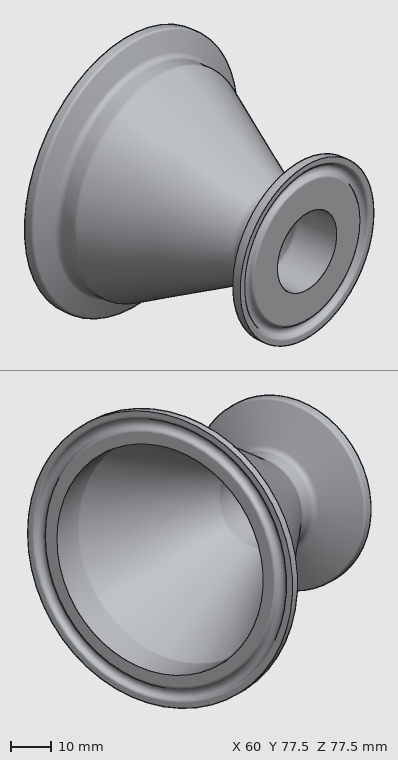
import cadquery as cq
import math

length = 60.0
wall = 1.6
large_rim_radius = 38.75
large_tube_radius = 31.8
small_rim_radius = 25.2
small_tube_radius = 12.8

cone_start = 10.8
cone_end = 47.2
large_bend_radius = 1.8
small_bend_radius = 2.3

flange_slope = math.tan(math.radians(20))
flange_edge_thickness = 2.7
rim_round = 0.8
neck_round = 1.85

groove_inset = 3.5
groove_depth = 1.55
groove_mouth_half_width = 1.55
groove_lip_round = 0.8
groove_apex_depth = groove_mouth_half_width / flange_slope
apex_distance_factor = 1 / math.sin(math.atan(flange_slope)) - 1
groove_bottom_round = (groove_apex_depth - groove_depth) / apex_distance_factor


def rounded_outline(corners):
    """Closed XY outline from (x, radius, rounding) corners; rounding 0 is sharp.

    The first corner must be sharp.
    """
    points = [cq.Vector(x, radius) for x, radius, _ in corners]
    outline = cq.Workplane("XY").moveTo(points[0].x, points[0].y)
    for i in range(1, len(corners)):
        corner = points[i]
        rounding = corners[i][2]
        if rounding == 0:
            outline = outline.lineTo(corner.x, corner.y)
            continue
        back = (points[i - 1] - corner).normalized()
        ahead = (points[(i + 1) % len(points)] - corner).normalized()
        half_angle = back.getAngle(ahead) / 2
        tangent_length = rounding / math.tan(half_angle)
        middle_distance = rounding / math.sin(half_angle) - rounding
        start = corner + back * tangent_length
        middle = corner + (back + ahead).normalized() * middle_distance
        end = corner + ahead * tangent_length
        outline = outline.lineTo(start.x, start.y)
        outline = outline.threePointArc((middle.x, middle.y), (end.x, end.y))
    return outline.close()


def flange_corners(face_x, inward, rim_radius, tube_radius):
    """Corners of one flange from its bore, over its grooved face, to its neck.

    inward is the X direction (+1 or -1) from the face into the part.
    """
    groove_radius = rim_radius - groove_inset
    groove_apex_x = face_x + inward * groove_apex_depth
    rim_back_x = face_x + inward * flange_edge_thickness
    neck_x = rim_back_x + inward * (rim_radius - tube_radius) * flange_slope
    return [
        (face_x, tube_radius - wall, 0),
        (face_x, groove_radius - groove_mouth_half_width, groove_lip_round),
        (groove_apex_x, groove_radius, groove_bottom_round),
        (face_x, groove_radius + groove_mouth_half_width, groove_lip_round),
        (face_x, rim_radius, 0),
        (rim_back_x, rim_radius, rim_round),
        (neck_x, tube_radius, neck_round),
    ]


large_flange = flange_corners(0, 1, large_rim_radius, large_tube_radius)
small_flange = flange_corners(length, -1, small_rim_radius, small_tube_radius)

cone_angle = math.atan2(large_tube_radius - small_tube_radius, cone_end - cone_start)
inner_bend_shift = wall * math.tan(cone_angle / 2)

outer_cone = [
    (cone_start, large_tube_radius, large_bend_radius),
    (cone_end, small_tube_radius, small_bend_radius),
]
inner_cone = [
    (cone_end - inner_bend_shift, small_tube_radius - wall, small_bend_radius),
    (cone_start - inner_bend_shift, large_tube_radius - wall, large_bend_radius),
]

wall_outline = rounded_outline(large_flange + outer_cone + small_flange[::-1] + inner_cone)
result = wall_outline.revolve(360, (0, 0, 0), (1, 0, 0))